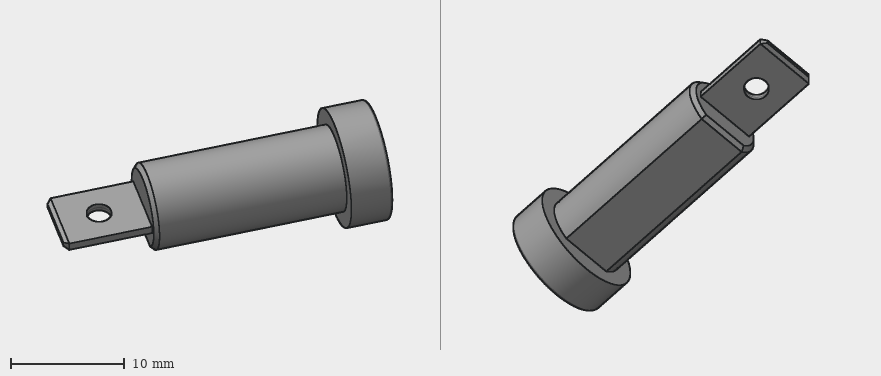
import cadquery as cq

total_length = 29.4

head_diameter = 10.82
head_thickness = 3.82
head_edge_radius = 0.2
shank_diameter = 7.88
shank_flat_depth = 3.1
shank_chamfer = 0.4

blade_length = 8.0
blade_width = 5.95
blade_thickness = 0.8
blade_hole_diameter = 2.2
tip_length = 0.4
tip_side_inset = 0.45
tip_face_inset = 0.18

head_face_y = total_length / 2
shoulder_y = head_face_y - head_thickness
blade_tip_y = -total_length / 2
shank_end_y = blade_tip_y + blade_length
tip_start_y = blade_tip_y + tip_length
shank_length = shoulder_y - shank_end_y


def plane_facing_back(y):
    """XZ plane at the given Y, with its normal toward +Y."""
    return cq.Plane(origin=(0, y, 0), xDir=(1, 0, 0), normal=(0, 1, 0))


def make_head():
    """Round head with a small rounding around its outer face."""
    head = cq.Workplane(plane_facing_back(shoulder_y)).circle(head_diameter / 2).extrude(head_thickness)
    return head.faces(">Y").edges().fillet(head_edge_radius)


def make_shank():
    """D-shaped shank, chamfered all around its free end."""
    shank_radius = shank_diameter / 2
    shank = cq.Workplane(plane_facing_back(shank_end_y)).circle(shank_radius).extrude(shank_length)
    kept_height = shank_flat_depth + shank_radius
    kept_region = cq.Workplane("XY").box(shank_diameter, total_length, kept_height).translate(
        (0, 0, kept_height / 2 - shank_flat_depth)
    )
    return shank.intersect(kept_region).faces("<Y").edges().chamfer(shank_chamfer)


def make_housing():
    """Head and shank as one solid."""
    return make_head().union(make_shank())


def make_terminal():
    """Blade with a tapered tip and a central hole, seated on the shank end."""
    blade = (
        cq.Workplane(plane_facing_back(tip_start_y))
        .rect(blade_width, blade_thickness)
        .extrude(shank_end_y - tip_start_y)
    )
    tip = (
        cq.Workplane(plane_facing_back(blade_tip_y))
        .rect(blade_width - 2 * tip_side_inset, blade_thickness - 2 * tip_face_inset)
        .workplane(offset=tip_length)
        .rect(blade_width, blade_thickness)
        .loft(ruled=True)
    )
    hole_y = (blade_tip_y + shank_end_y) / 2
    hole = (
        cq.Workplane("XY")
        .center(0, hole_y)
        .circle(blade_hole_diameter / 2)
        .extrude(blade_thickness, both=True)
    )
    return blade.union(tip).cut(hole)


housing = make_housing()
terminal = make_terminal()

result = cq.Compound.makeCompound([housing.solids().val(), terminal.solids().val()])